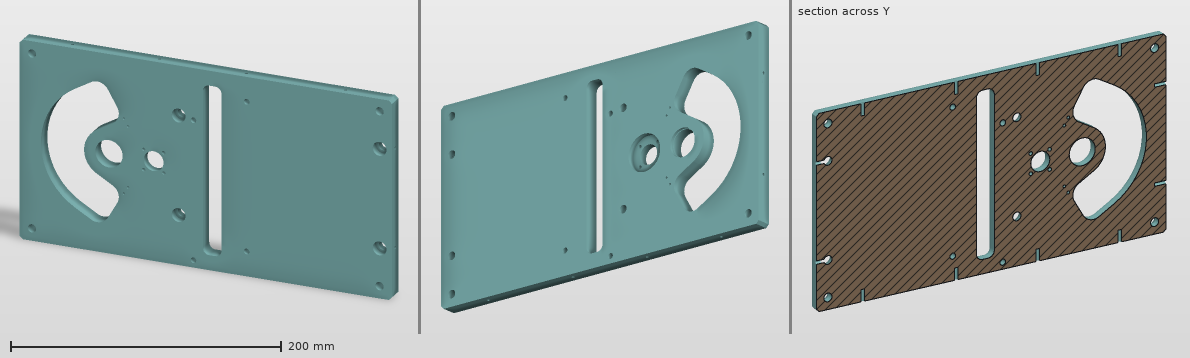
import cadquery as cq
import math

LENGTH = 300.0
THICKNESS = 12.0
HEIGHT = 160.0
CORNER_CHAMFER = 2.5

FIXING_DIAMETER = 6.5
FIXING_INSET = 10.0
FIXING_X = LENGTH / 2 - FIXING_INSET
FIXING_Z = HEIGHT / 2 - FIXING_INSET

BOLT_DIAMETER = 6.5
BOLT_HEAD_DIAMETER = 11.0
BOLT_HEAD_DEPTH = THICKNESS / 2
BOLT_X_POSITIONS = (-22.0, FIXING_X)
BOLT_Z = 40.0

DOWEL_DIAMETER = 4.5
DOWEL_POSITIONS = ((-10.0, 38.0), (-10.0, -74.0), (33.0, 60.0), (33.0, -60.0))

SLOT_X = 5.0
SLOT_WIDTH = 15.0
SLOT_HEIGHT = 136.0
SLOT_CORNER_RADIUS = 5.0

PIVOT_X = -78.0
PIVOT_DIAMETER = 22.0
PIVOT_RECESS_DIAMETER = 23.0
PIVOT_RECESS_DEPTH = 2.7
WINDOW_INNER_RADIUS = 20.0
WINDOW_OUTER_RADIUS = 55.0
WINDOW_HALF_ANGLE = 60.0
WINDOW_STRAIGHT = 25.0
WINDOW_CORNER_RADIUS = 10.0

STOP_DIAMETER = 2.0
STOP_RADII = (13.5, 20.0)
STOP_OFFSET = 25.5

MOTOR_X = -42.0
MOTOR_DIAMETER = 16.0
MOTOR_RECESS_DIAMETER = 30.0
MOTOR_RECESS_DEPTH = 5.0
MOTOR_SCREW_DIAMETER = 2.7
MOTOR_SCREW_SPACING = 16.2

EDGE_DIAMETER = 2.5
EDGE_DEPTH = 10.0
EDGE_X_POSITIONS = (-110.0, -40.0, 30.0, 110.0)
EDGE_Z = BOLT_Z


def front_plane():
    """Sketch plane on the front face: local x is X, local y is Z."""
    return cq.Workplane("XZ", origin=(0, -THICKNESS / 2, 0))


def through_holes(positions, diameter):
    return front_plane().pushPoints(positions).circle(diameter / 2).extrude(-THICKNESS)


def back_recess(x, diameter, depth):
    """Round recess on the X axis, sunk from the back face."""
    back_plane = cq.Workplane("XZ", origin=(x, THICKNESS / 2, 0))
    return back_plane.circle(diameter / 2).extrude(depth)


def make_plate():
    plate = cq.Workplane("XY").box(LENGTH, THICKNESS, HEIGHT)
    return plate.edges("|Y").chamfer(CORNER_CHAMFER)


def make_slot():
    slot = front_plane().center(SLOT_X, 0).rect(SLOT_WIDTH, SLOT_HEIGHT).extrude(-THICKNESS)
    return slot.edges("|Y").fillet(SLOT_CORNER_RADIUS)


def window_point(radius, along, side):
    """Point at a radius on the end ray of the window arcs, moved along the tangent.

    side is +1 for the upper end of the window and -1 for the lower end.
    """
    angle = math.radians(WINDOW_HALF_ANGLE)
    x = PIVOT_X - radius * math.cos(angle) + along * math.sin(angle)
    z = radius * math.sin(angle) + along * math.cos(angle)
    return (x, side * z)


def make_window():
    """Arc-shaped band extended tangentially at both ends, with rounded end corners."""
    outline = (
        front_plane()
        .moveTo(*window_point(WINDOW_OUTER_RADIUS, 0, -1))
        .threePointArc((PIVOT_X - WINDOW_OUTER_RADIUS, 0), window_point(WINDOW_OUTER_RADIUS, 0, 1))
        .lineTo(*window_point(WINDOW_OUTER_RADIUS, WINDOW_STRAIGHT, 1))
        .lineTo(*window_point(WINDOW_INNER_RADIUS, WINDOW_STRAIGHT, 1))
        .lineTo(*window_point(WINDOW_INNER_RADIUS, 0, 1))
        .threePointArc((PIVOT_X - WINDOW_INNER_RADIUS, 0), window_point(WINDOW_INNER_RADIUS, 0, -1))
        .lineTo(*window_point(WINDOW_INNER_RADIUS, WINDOW_STRAIGHT, -1))
        .lineTo(*window_point(WINDOW_OUTER_RADIUS, WINDOW_STRAIGHT, -1))
        .close()
    )
    band = outline.extrude(-THICKNESS)
    end_corners = [
        window_point(radius, WINDOW_STRAIGHT, side)
        for radius in (WINDOW_INNER_RADIUS, WINDOW_OUTER_RADIUS)
        for side in (1, -1)
    ]
    for x, z in end_corners:
        corner = cq.selectors.NearestToPointSelector((x, 0, z))
        band = band.edges("|Y").edges(corner).fillet(WINDOW_CORNER_RADIUS)
    return band


def make_counterbored_holes():
    positions = [(x, z) for x in BOLT_X_POSITIONS for z in (BOLT_Z, -BOLT_Z)]
    heads = front_plane().pushPoints(positions).circle(BOLT_HEAD_DIAMETER / 2).extrude(-BOLT_HEAD_DEPTH)
    return through_holes(positions, BOLT_DIAMETER).union(heads)


def edge_hole(start, direction):
    """Blind hole drilled from a point on an edge face along an inward direction."""
    drill = cq.Solid.makeCylinder(EDGE_DIAMETER / 2, EDGE_DEPTH, cq.Vector(start), cq.Vector(direction))
    return cq.Workplane(drill)


result = make_plate()
result = result.cut(make_slot())
result = result.cut(make_window())
result = result.cut(make_counterbored_holes())

fixing_positions = [(x, z) for x in (-FIXING_X, FIXING_X) for z in (-FIXING_Z, FIXING_Z)]
result = result.cut(through_holes(fixing_positions, FIXING_DIAMETER))
result = result.cut(through_holes(DOWEL_POSITIONS, DOWEL_DIAMETER))

stop_positions = [window_point(radius, STOP_OFFSET, side) for radius in STOP_RADII for side in (1, -1)]
result = result.cut(through_holes([(PIVOT_X, 0)], PIVOT_DIAMETER))
result = result.cut(back_recess(PIVOT_X, PIVOT_RECESS_DIAMETER, PIVOT_RECESS_DEPTH))
result = result.cut(through_holes(stop_positions, STOP_DIAMETER))

screw_offset = MOTOR_SCREW_SPACING / 2
screw_offsets = (-screw_offset, screw_offset)
screw_positions = [(MOTOR_X + dx, dz) for dx in screw_offsets for dz in screw_offsets]
result = result.cut(through_holes([(MOTOR_X, 0)], MOTOR_DIAMETER))
result = result.cut(back_recess(MOTOR_X, MOTOR_RECESS_DIAMETER, MOTOR_RECESS_DEPTH))
result = result.cut(through_holes(screw_positions, MOTOR_SCREW_DIAMETER))

for side in (1, -1):
    for x in EDGE_X_POSITIONS:
        result = result.cut(edge_hole((x, 0, side * HEIGHT / 2), (0, 0, -side)))
    for z in (EDGE_Z, -EDGE_Z):
        result = result.cut(edge_hole((side * LENGTH / 2, 0, z), (-side, 0, 0)))